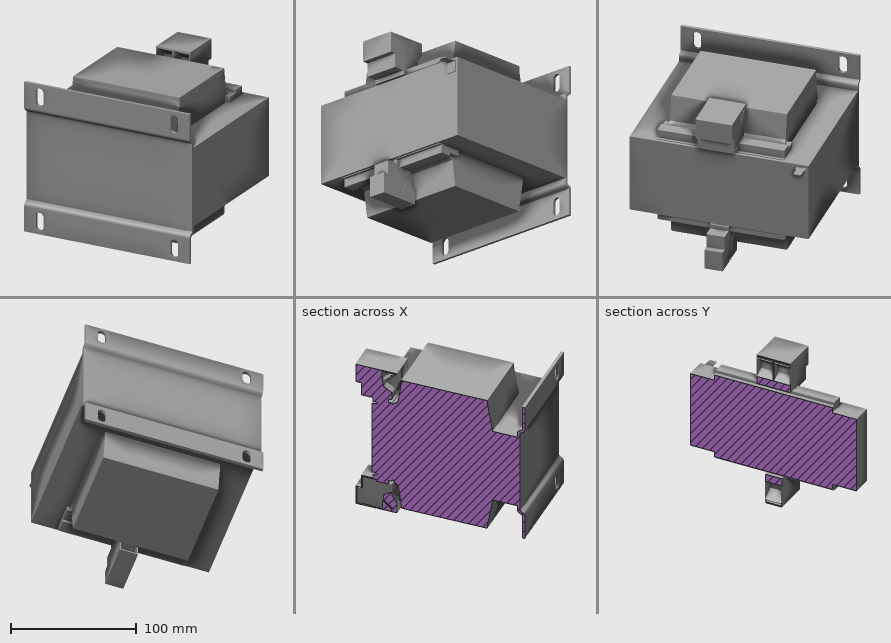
import cadquery as cq
import math


core_width = 150.0
core_depth = 67.2
core_back = 131.5
sheet = 2.5
plate_offset = 4.2
plate_height = 127.8
bend_start = 37.2
bend_angle = math.radians(60)
bend_inner_radius = 0.9

slot_length = 15.3
slot_width = 6.9
slot_spacing_x = 122.1
slot_spacing_z = 106.2

coil_width = 96.9
coil_height = 124.8
coil_front = 27.6
coil_back = 114.0
window_width = 100.5
window_front = 32.1
window_back = 106.8

carrier_width = 106.5
carrier_front = 107.1
carrier_back = 126.8
carrier_step = 117.0
ledge_thickness = 4.8
carrier_top = 41.1
pad_front = 123.5
pad_back = 129.2
pad_thickness = 0.6

terminal_width = 15.3
terminal_top = 68.0
terminal_back = 145.5
terminal_front = 114.0
terminal_nose = 109.6
terminal_wall = 0.8
panel_depth = 0.3
spring_thickness = 0.8

tab_x = -69.2
tab_sheet = 0.8
tab_top = 31.2
tab_leg_bottom = 21.6
tab_tip = 143.1
tab_shoulder = 134.7
tab_base_width = 8.4
tab_blade_width = 6.5
tab_corner = 1.4

core_top = core_depth / 2
plate_front = plate_offset
core_front = plate_offset + sheet


def box(x_min, x_max, y_min, y_max, z_min, z_max):
    size = (x_max - x_min, y_max - y_min, z_max - z_min)
    return cq.Workplane("XY").box(*size, centered=False).translate((x_min, y_min, z_min))


def extrude_x(points, x_min, x_max):
    """Extrude a closed (Y, Z) outline between two X positions."""
    return cq.Workplane("YZ", origin=(x_min, 0, 0)).polyline(points).close().extrude(x_max - x_min)


def both_sides(solid):
    return solid.union(solid.mirror("XY"))


def make_core():
    core = box(-core_width / 2, core_width / 2, core_front, core_back, -core_top, core_top)
    window = box(-window_width / 2, window_width / 2, window_front, window_back, -core_top, core_top)
    return core.cut(window)


def make_coil():
    top = coil_height / 2
    half_outline = [
        (coil_front, core_top),
        (window_front, 59.1),
        (window_front, top),
        (106.0, top),
        (109.2, 40.8),
        (coil_back, 37.0),
        (coil_back, core_top),
    ]
    end = extrude_x(half_outline, -coil_width / 2, coil_width / 2)
    inside = box(-coil_width / 2, coil_width / 2, window_front, window_back, -core_top, core_top)
    return both_sides(end).union(inside)


def make_plate():
    """Sheet whose top and bottom flanges are joggled forward through two bends."""
    outer_radius = bend_inner_radius + sheet
    middle_radius = bend_inner_radius + sheet / 2
    straight_drop = plate_offset - 2 * middle_radius * (1 - math.cos(bend_angle))
    rise = 2 * middle_radius * math.sin(bend_angle) + straight_drop / math.tan(bend_angle)
    bend_end = bend_start + rise
    top = plate_height / 2

    def lower_arc(radius, angle):
        y = plate_front - bend_inner_radius + radius * math.cos(angle)
        return (y, bend_start + radius * math.sin(angle))

    def upper_arc(radius, angle):
        y = sheet + bend_inner_radius - radius * math.cos(angle)
        return (y, bend_end - radius * math.sin(angle))

    half_angle = bend_angle / 2
    joggle = (
        cq.Workplane("YZ", origin=(-core_width / 2, 0, 0))
        .moveTo(plate_front, 0)
        .lineTo(core_front, 0)
        .lineTo(core_front, bend_start)
        .threePointArc(lower_arc(outer_radius, half_angle), lower_arc(outer_radius, bend_angle))
        .lineTo(*upper_arc(bend_inner_radius, bend_angle))
        .threePointArc(upper_arc(bend_inner_radius, half_angle), (sheet, bend_end))
        .lineTo(sheet, top)
        .lineTo(0, top)
        .lineTo(0, bend_end)
        .threePointArc(upper_arc(outer_radius, half_angle), upper_arc(outer_radius, bend_angle))
        .lineTo(*lower_arc(bend_inner_radius, bend_angle))
        .threePointArc(lower_arc(bend_inner_radius, half_angle), (plate_front, bend_start))
        .close()
        .extrude(core_width)
    )
    slots = (
        cq.Workplane("XZ")
        .rarray(slot_spacing_x, slot_spacing_z, 2, 2)
        .slot2D(slot_length, slot_width, 90)
        .extrude(-sheet)
    )
    return both_sides(joggle).cut(slots)


def make_carrier():
    """Stepped rail on the core that holds the terminals, with a cutout for the coil."""
    ledge_top = core_top + ledge_thickness
    side = carrier_width / 2
    rail = box(-side, side, carrier_step, carrier_back, core_top, carrier_top)
    ledge = box(-side, side, carrier_front, carrier_step, core_top, ledge_top)
    cutout = box(-coil_width / 2, coil_width / 2, carrier_front, coil_back, core_top, ledge_top)
    pad = box(-side, side, pad_front, pad_back, core_top, core_top + pad_thickness)
    return both_sides(rail.union(ledge.cut(cutout)).union(pad))


entry_back = [(122.7, 66.8), (122.7, 61.0), (122.1, 56.4), (121.0, 52.4), (terminal_front, 48.0)]


def make_terminal(x_min):
    """One terminal block with a wire entry open to the front and a sloping spring inside."""
    x_max = x_min + terminal_width
    body = extrude_x(
        [
            (terminal_back, terminal_top),
            (terminal_nose, terminal_top),
            (terminal_nose, 58.4),
            (terminal_front, 51.8),
            (terminal_front, carrier_top),
            (carrier_back, carrier_top),
            (carrier_back, 35.4),
            (131.0, 35.4),
            (131.0, 39.0),
            (140.5, 39.0),
            (140.5, 50.7),
            (terminal_back, 50.7),
        ],
        x_min,
        x_max,
    )
    entry_front = [(terminal_nose, entry_back[-1][1]), (terminal_nose, entry_back[0][1])]
    entry = extrude_x(entry_back + entry_front, x_min + terminal_wall, x_max - terminal_wall)
    return body.cut(entry).union(make_spring(x_min, x_max))


def make_spring(x_min, x_max):
    """Spring strip sloping up towards the front, spanning the full width it is given."""
    low = (122.2, 58.5)
    high = (114.5, 65.1)
    slope = math.atan2(high[1] - low[1], low[0] - high[0])
    shift_y = spring_thickness * math.sin(slope)
    shift_z = spring_thickness * math.cos(slope)
    strip = [low, high, (high[0] - shift_y, high[1] - shift_z), (low[0] - shift_y, low[1] - shift_z)]
    return extrude_x(strip, x_min, x_max)


def make_terminal_row(count):
    """Centred row of terminals; the end face at -X has a recessed panel and a spring groove."""
    start = -count * terminal_width / 2
    row = make_terminal(start)
    for index in range(1, count):
        row = row.union(make_terminal(start + index * terminal_width))
    panel = extrude_x(
        entry_back
        + [
            (terminal_front, 41.8),
            (127.6, 41.8),
            (127.6, 40.4),
            (139.2, 40.4),
            (139.2, 51.6),
            (144.3, 51.6),
            (144.3, 66.2),
            (131.1, 66.2),
            (131.1, 66.8),
        ],
        start,
        start + panel_depth,
    )
    return row.cut(panel).cut(make_spring(start, start + panel_depth))


def make_earth_tab():
    """Angle of thin sheet: a leg on the core's back face and a blade pointing backwards."""
    half_base = tab_base_width / 2
    bottom = tab_top - tab_sheet
    leg = box(tab_x - half_base, tab_x + half_base, core_back, core_back + tab_sheet, tab_leg_bottom, tab_top)
    base = box(tab_x - half_base, tab_x + half_base, core_back, tab_shoulder, bottom, tab_top)
    half_blade = tab_blade_width / 2
    blade = box(tab_x - half_blade, tab_x + half_blade, core_back, tab_tip, bottom, tab_top)
    blade = blade.edges("|Z and >Y").fillet(tab_corner)
    return leg.union(base).union(blade)


result = (
    make_core()
    .union(make_coil())
    .union(make_plate())
    .union(make_carrier())
    .union(make_terminal_row(2))
    .union(make_terminal_row(1).mirror("XY"))
    .union(make_earth_tab())
)